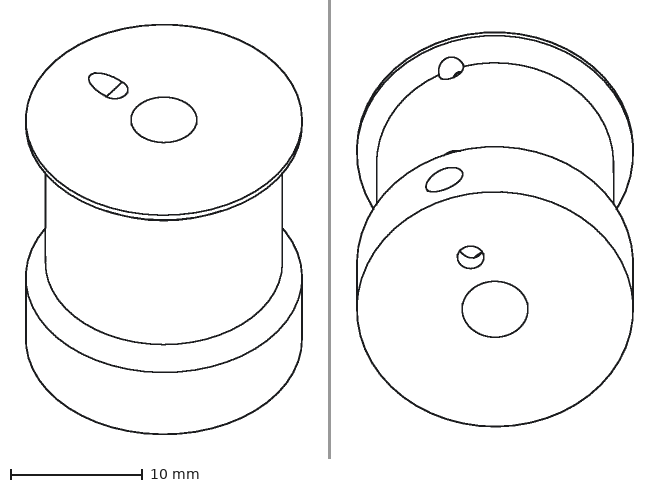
import cadquery as cq
import math

height = 23.0
flange_diameter = 21.0
drum_diameter = 18.0
bore_diameter = 5.0
top_rim_thickness = 0.5
drum_bottom = 8.0
drum_top = 21.0

screw_hole_diameter = 3.0
screw_hole_height = 3.0

cord_diameter = 2.0
cord_hole_x = -5.0
cord_angle = 30.0
upper_cord_height = 20.95
lower_cord_height = 8.12
outside_run = 4.0

flange_radius = flange_diameter / 2
drum_radius = drum_diameter / 2
flare = flange_radius - drum_radius
base_top = drum_bottom - flare
top_rim_bottom = height - top_rim_thickness


def make_spool():
    """Revolve the half profile: base, lower flare, drum, upper flare and rim."""
    half_profile = [
        (0, 0),
        (flange_radius, 0),
        (flange_radius, base_top),
        (drum_radius, drum_bottom),
        (drum_radius, drum_top),
        (flange_radius, top_rim_bottom),
        (flange_radius, height),
        (0, height),
    ]
    return cq.Workplane("XZ").polyline(half_profile).close().revolve(360, (0, 0), (0, 1))


def vertical_hole(x, diameter):
    """Through hole parallel to Z, centred on the X axis."""
    return cq.Workplane("XY").center(x, 0).circle(diameter / 2).extrude(height)


def screw_hole():
    """Radial hole from the -X side to the middle of the bore."""
    plane = cq.Plane(origin=(-flange_radius, 0, screw_hole_height), xDir=(0, 1, 0), normal=(1, 0, 0))
    return cq.Workplane(plane).circle(screw_hole_diameter / 2).extrude(flange_radius)


def inclined_cord_hole(drum_z, vertical_sense):
    """Hole crossing the drum surface at drum_z and ending on the vertical cord hole's axis.

    Going inward it rises for vertical_sense = 1 and falls for vertical_sense = -1.
    """
    angle = math.radians(cord_angle)
    inward_run = cord_hole_x + drum_radius
    end_z = drum_z + vertical_sense * inward_run * math.tan(angle)
    outward = (-math.cos(angle), 0, -vertical_sense * math.sin(angle))
    length = inward_run / math.cos(angle) + outside_run
    plane = cq.Plane(origin=(cord_hole_x, 0, end_z), xDir=(0, 1, 0), normal=outward)
    return cq.Workplane(plane).circle(cord_diameter / 2).extrude(length)


result = (
    make_spool()
    .cut(vertical_hole(0, bore_diameter))
    .cut(vertical_hole(cord_hole_x, cord_diameter))
    .cut(screw_hole())
    .cut(inclined_cord_hole(upper_cord_height, 1))
    .cut(inclined_cord_hole(lower_cord_height, -1))
)